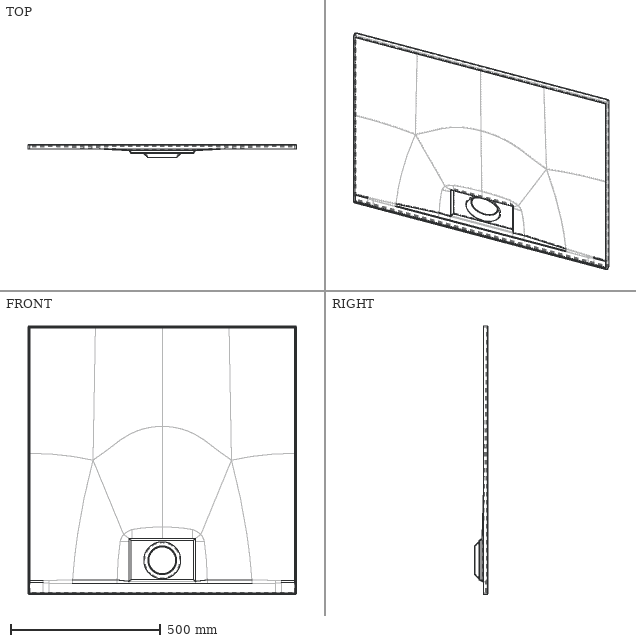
import cadquery as cq


SIZE = 900.0
RIM_DEPTH = 15.0
CORNER_RADIUS = 6.0
EDGE_ROUND = 3.5
LIP_WIDTH = 4.0
LIP_FOOT_WIDTH = 7.0

WALL = 4.0
FLOOR_INSET = 5.0
FLOOR_EDGE = SIZE / 2 - FLOOR_INSET
FLOOR_BOTTOM = SIZE / 2 - FLOOR_EDGE
FLOOR_TOP = SIZE - FLOOR_BOTTOM

EDGE_DEPTH = WALL
NODE_DEPTH = 9.0
BASIN_DEPTH = 18.2
PAD_RIM_DEPTH = 20.0
PAD_DEPTH = 30.0
TIP_DEPTH = 44.0
STRIP_DEPTH = 6.5
STRIP_END_DEPTH = 8.0

TOP_CREASE_X = 224.0
NODE_X = 232.0
NODE_Z = 450.0
ARCH_Z = 563.0
SIDE_CREASE_Z = 473.0
FOOT_CREASE_X = 300.5

BASIN_FOOT_X = 151.0
BASIN_SIDE_X = 141.0
BASIN_CORNER_X = 129.5
BASIN_CORNER_Z = 201.0
BASIN_SHOULDER_Z = 217.5
BASIN_TOP_Z = 226.0
PAD_X = 111.0
PAD_TOP_Z = 187.5
PAD_WALL_RUN = 7.0
PAD_FLAT_X = PAD_X - PAD_WALL_RUN
PAD_FLAT_TOP_Z = PAD_TOP_Z - PAD_WALL_RUN
PAD_FLAT_BOTTOM_Z = 49.5
PAD_BOTTOM_Z = 44.0
PAD_CORNER = 10.0
PAD_SHOULDER_X = PAD_X - PAD_CORNER
PAD_SIDE_Z = PAD_TOP_Z - PAD_CORNER

STEP_TOP_Z = 48.5
STEP_FOOT_Z = 37.5
STEP_END_TOP_Z = 46.0
STEP_END_FOOT_Z = 39.5
STRIP_END_X = 400.0
STRIP_RAMP_X = 380.0

DRAIN_Z = 114.5
CONE_BASE_RADIUS = 62.0
CONE_TIP_RADIUS = 48.0
CONE_WALL = 3.0


def point(half_x, z, depth):
    """Underside point on the -X half of the tray."""
    return cq.Vector(-half_x, -depth, z)


def line(start, end):
    return cq.Edge.makeLine(start, end)


def curve(start, end, start_direction, end_direction):
    """Smooth crease between two points, leaving and arriving along the given directions."""
    return cq.Edge.makeSpline([start, end], tangents=[cq.Vector(*start_direction), cq.Vector(*end_direction)])


def flat(*corners):
    return cq.Face.makeFromWires(cq.Wire.makePolygon(list(corners), close=True))


def ruled(first, second):
    """Face between two edges running the same way."""
    return cq.Face.makeRuledSurface(first, second)


def ruled_quad(a, b, c, d):
    """Four-cornered, possibly twisted face a-b-c-d with straight sides."""
    return ruled(line(a, b), line(d, c))


def filled(*edges, guides=()):
    """Smooth face inside a closed loop of edges, passing through the guide edges."""
    return cq.Face.makeNSidedSurface(list(edges), list(guides))


def chain(*points):
    """Straight edges joining the points in order."""
    return [line(start, end) for start, end in zip(points, points[1:])]


def between(start, end, half_x):
    """Point at half_x on the straight line from start to end."""
    return start + (end - start) * ((-half_x - start.x) / (end.x - start.x))


top_edge = point(FLOOR_EDGE, FLOOR_TOP, EDGE_DEPTH)
top_crease = point(TOP_CREASE_X, FLOOR_TOP, EDGE_DEPTH)
top_centre = point(0, FLOOR_TOP, EDGE_DEPTH)
side_crease = point(FLOOR_EDGE, SIDE_CREASE_Z, EDGE_DEPTH)
node = point(NODE_X, NODE_Z, NODE_DEPTH)
arch = point(0, ARCH_Z, NODE_DEPTH)

step_edge = point(FLOOR_EDGE, STEP_END_TOP_Z, EDGE_DEPTH)
step_crease = point(FOOT_CREASE_X, STEP_TOP_Z, NODE_DEPTH)
step_end = between(step_edge, step_crease, STRIP_END_X)
step_ramp = between(step_edge, step_crease, STRIP_RAMP_X)
step_basin = point(BASIN_FOOT_X, STEP_TOP_Z, BASIN_DEPTH)
step_pad = point(PAD_X, PAD_BOTTOM_Z, PAD_RIM_DEPTH)
step_pad_flat = point(PAD_FLAT_X, PAD_BOTTOM_Z, PAD_RIM_DEPTH)
step_centre = point(0, PAD_BOTTOM_Z, PAD_RIM_DEPTH)

basin_side = point(BASIN_SIDE_X, PAD_SIDE_Z, BASIN_DEPTH)
basin_corner = point(BASIN_CORNER_X, BASIN_CORNER_Z, BASIN_DEPTH)
basin_shoulder = point(PAD_SHOULDER_X, BASIN_SHOULDER_Z, BASIN_DEPTH)
basin_top = point(0, BASIN_TOP_Z, BASIN_DEPTH)

pad_corner = point(PAD_X, PAD_TOP_Z, PAD_RIM_DEPTH)
pad_side = point(PAD_X, PAD_SIDE_Z, PAD_RIM_DEPTH)
pad_shoulder = point(PAD_SHOULDER_X, PAD_TOP_Z, PAD_RIM_DEPTH)
pad_top = point(0, PAD_TOP_Z, PAD_RIM_DEPTH)
flat_corner = point(PAD_FLAT_X, PAD_FLAT_TOP_Z, PAD_DEPTH)
flat_top = point(0, PAD_FLAT_TOP_Z, PAD_DEPTH)
flat_foot = point(PAD_FLAT_X, PAD_FLAT_BOTTOM_Z, PAD_DEPTH)
flat_bottom = point(0, PAD_FLAT_BOTTOM_Z, PAD_DEPTH)

foot_edge = point(FLOOR_EDGE, STEP_END_FOOT_Z, STRIP_END_DEPTH)
foot_end = point(STRIP_END_X, STEP_END_FOOT_Z, STRIP_END_DEPTH)
foot_ramp = point(STRIP_RAMP_X, STEP_FOOT_Z, STRIP_DEPTH)
foot_crease = point(FOOT_CREASE_X, STEP_FOOT_Z, STRIP_DEPTH)
foot_basin = point(BASIN_FOOT_X, STEP_FOOT_Z, STRIP_DEPTH)
foot_pad = point(PAD_X, STEP_FOOT_Z, STRIP_DEPTH)
foot_pad_flat = point(PAD_FLAT_X, STEP_FOOT_Z, STRIP_DEPTH)
foot_centre = point(0, STEP_FOOT_Z, STRIP_DEPTH)
strip_edge = point(FLOOR_EDGE, FLOOR_BOTTOM, STRIP_END_DEPTH)
strip_end = point(STRIP_END_X, FLOOR_BOTTOM, STRIP_END_DEPTH)
strip_ramp = point(STRIP_RAMP_X, FLOOR_BOTTOM, STRIP_DEPTH)
strip_centre = point(0, FLOOR_BOTTOM, STRIP_DEPTH)

side_curve = curve(side_crease, node, (1, -0.02, 0.0), (1, -0.02, -0.22))
arch_curve = curve(node, arch, (1, 0, 0.62), (1, 0, 0))
foot_curve = curve(node, step_crease, (-0.26, 0, -1), (-0.07, 0, -1))
basin_top_curve = curve(basin_shoulder, basin_top, (1, 0, 0.2), (1, 0, 0))
basin_shoulder_curve = curve(basin_corner, basin_shoulder, (1, 0, 0.9), (1, 0, 0.3))
basin_corner_curve = curve(basin_corner, basin_side, (-0.8, 0, -1), (-0.25, 0, -1))
basin_side_curve = curve(basin_side, step_basin, (-0.16, 0, -1), (-0.02, 0, -1))


def slope_faces():
    """The gently sloping panels between the rim and the basin."""
    valley = line(node, basin_corner)
    return [
        ruled(line(top_edge, top_crease), side_curve),
        ruled(line(top_crease, top_centre), arch_curve),
        filled(side_curve, foot_curve,
               *chain(step_crease, step_ramp, step_end, step_edge, side_crease)),
        filled(foot_curve, valley, basin_corner_curve, basin_side_curve, line(step_basin, step_crease),
               guides=[line(foot_curve.positionAt(0.5), basin_side)]),
        filled(arch_curve, line(arch, basin_top), basin_top_curve, basin_shoulder_curve, valley),
    ]


def basin_faces():
    """The shallow band between the basin outline and the drain pad."""
    return [
        ruled(basin_top_curve, line(pad_shoulder, pad_top)),
        ruled(basin_shoulder_curve, line(pad_corner, pad_shoulder)),
        ruled(basin_corner_curve, line(pad_corner, pad_side)),
        ruled(basin_side_curve, line(pad_side, step_pad)),
    ]


def pad_faces():
    """The flat drain pad and its sloped walls."""
    return [
        flat(flat_corner, flat_top, flat_bottom, flat_foot),
        flat(pad_shoulder, pad_top, flat_top, flat_corner),
        flat(pad_corner, pad_shoulder, flat_corner),
        flat(pad_corner, flat_corner, pad_side),
        ruled_quad(pad_side, flat_corner, flat_foot, step_pad),
        flat(step_pad, flat_foot, step_pad_flat),
        flat(step_pad_flat, flat_foot, flat_bottom, step_centre),
    ]


def step_faces():
    """The step between the floor and the bottom strip, and the strip itself."""
    return [
        ruled_quad(step_edge, step_end, foot_end, foot_edge),
        ruled_quad(step_end, step_ramp, foot_ramp, foot_end),
        ruled_quad(step_ramp, step_crease, foot_crease, foot_ramp),
        ruled_quad(step_crease, step_basin, foot_basin, foot_crease),
        ruled_quad(step_basin, step_pad, foot_pad, foot_basin),
        flat(step_pad, step_pad_flat, foot_pad_flat, foot_pad),
        flat(step_pad_flat, step_centre, foot_centre, foot_pad_flat),
        flat(foot_edge, foot_end, strip_end, strip_edge),
        flat(foot_end, foot_ramp, strip_ramp, strip_end),
        flat(foot_ramp, foot_crease, foot_basin, foot_pad, foot_pad_flat, foot_centre,
             strip_centre, strip_ramp),
    ]


def floor_half():
    """The -X half of the floor: the underside, the same surface moved by WALL, and the sides."""
    through = cq.Vector(0, WALL, 0)
    underside = slope_faces() + basin_faces() + pad_faces() + step_faces()
    bathing_side = [face.translate(through) for face in underside]
    outline = [
        top_centre, top_crease, top_edge, side_crease, step_edge, foot_edge,
        strip_edge, strip_end, strip_ramp, strip_centre, foot_centre, step_centre,
        flat_bottom, flat_top, pad_top, basin_top, arch,
    ]
    sides = []
    for start, end in zip(outline, outline[1:] + outline[:1]):
        sides.append(flat(start, end, end + through, start + through))
    return cq.Solid.makeSolid(cq.Shell.makeShell(underside + bathing_side + sides))


def make_floor():
    half = floor_half()
    return cq.Workplane(obj=half).union(cq.Workplane(obj=half.mirror("YZ")))


def make_rim():
    """Square frame with rounded corners and a drafted inner wall."""
    middle = cq.Vector(0, 0, SIZE / 2)
    lip_opening = SIZE - 2 * LIP_WIDTH
    foot_opening = SIZE - 2 * LIP_FOOT_WIDTH
    block = (
        cq.Workplane("XZ", origin=middle)
        .rect(SIZE, SIZE)
        .extrude(RIM_DEPTH)
        .edges("|Y")
        .fillet(CORNER_RADIUS)
        .faces(">Y")
        .edges()
        .fillet(EDGE_ROUND)
    )
    opening = (
        cq.Workplane("XZ", origin=middle)
        .rect(foot_opening, foot_opening)
        .workplane(offset=RIM_DEPTH)
        .rect(lip_opening, lip_opening)
        .loft(ruled=True)
    )
    return block.cut(opening)


def cone(base_depth, base_radius, tip_radius):
    """Cone about the drain axis from base_depth to the drain tip, pointing to -Y."""
    base = cq.Vector(0, -base_depth, DRAIN_Z)
    outward = cq.Vector(0, -1, 0)
    return cq.Workplane(obj=cq.Solid.makeCone(base_radius, tip_radius, TIP_DEPTH - base_depth, base, outward))


def add_drain(tray):
    """Hollow cone on the pad, open right through."""
    inside = cone(PAD_DEPTH - WALL, CONE_BASE_RADIUS - CONE_WALL, CONE_TIP_RADIUS - CONE_WALL)
    return tray.union(cone(PAD_DEPTH, CONE_BASE_RADIUS, CONE_TIP_RADIUS)).cut(inside)


tray = add_drain(make_floor().union(make_rim()))
result = cq.Workplane(obj=tray.solids().val())